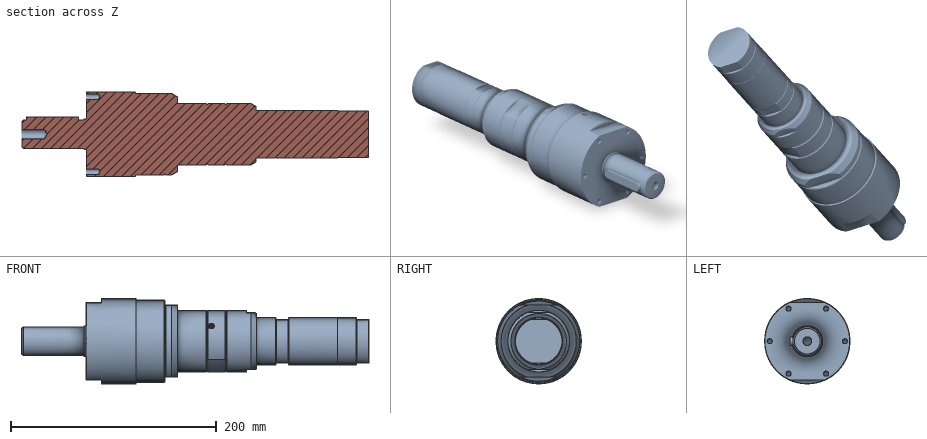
import cadquery as cq
import math


shaft_length = 62.5
shaft_diameter = 28.0
shaft_chamfer = 1.5
collar_diameter = 30.0
collar_length = 2.0
shaft_hole_diameter = 8.38
shaft_hole_depth = 22.0
key_start = -58.0
key_length = 51.0
key_width = 8.0
key_height = 7.0
key_projection = 3.0

body_diameter = 83.0
body_end = 48.5
body_flat_length = 15.0
body_across_flats = 75.0
bolt_circle_diameter = 73.0
bolt_count = 6
bolt_hole_diameter = 4.92
bolt_hole_depth = 12.0
drill_tip_angle = 118.0

front_sleeve_diameter = 80.0
front_nut_start = 77.0
front_nut_end = 89.0
front_nut_across_flats = 70.0
front_nut_bevel_length = 6.0
bevel_angle = 30.0
groove_depth = 1.0

barrel_diameter = 60.0
ring_start = 117.8
ring_end = 136.0
ring_across_flats = 55.0
ring_tilt = 30.0
rear_flat_start = 156.2
rear_nut_end = 165.7
rear_nut_across_flats = 55.5
rear_nut_bevel_length = 5.2

tube_diameter = 46.5
tail_diameter = 46.0
tube_flat_start = 184.7
tube_flat_end = 197.0
tail_start = 244.8
tail_flat_start = 263.3
tail_end = 275.0
tube_across_flats = 42.0
tube_groove_depth = 0.5

radial_hole_diameter = 3.3
radial_hole_depth = 5.0
counterbore_diameter = 5.5
counterbore_depth = 1.5
body_hole_x = 42.8
ring_hole_x = 122.0


def cylinder(start, end, diameter):
    return cq.Workplane("YZ").workplane(offset=start).circle(diameter / 2).extrude(end - start)


def bevelled_cylinder(start, end, diameter, bevel_length):
    """Cylinder whose far end tapers at the bevel angle."""
    radius = diameter / 2
    end_radius = radius - bevel_length * math.tan(math.radians(bevel_angle))
    profile = (
        cq.Workplane("XY")
        .moveTo(start, 0)
        .lineTo(start, radius)
        .lineTo(end - bevel_length, radius)
        .lineTo(end, end_radius)
        .lineTo(end, 0)
        .close()
    )
    return profile.revolve(360, (0, 0, 0), (1, 0, 0))


def v_groove(x, diameter, depth):
    """Ring-shaped cutter with a 90 degree V section around X."""
    radius = diameter / 2
    profile = (
        cq.Workplane("XY")
        .moveTo(x - depth, radius)
        .lineTo(x, radius - depth)
        .lineTo(x + depth, radius)
        .lineTo(x + depth, radius + depth)
        .lineTo(x - depth, radius + depth)
        .close()
    )
    return profile.revolve(360, (0, 0, 0), (1, 0, 0))


def flat_pair(start, end, across_flats, tilt=0.0):
    """Cutter leaving two parallel flats, facing +Z and -Z before the tilt about X."""
    length = end - start
    stock = cq.Workplane("XY").box(length, body_diameter * 2, body_diameter * 2)
    core = cq.Workplane("XY").box(length, body_diameter * 2, across_flats)
    cutter = stock.cut(core).translate(((start + end) / 2, 0, 0))
    return cutter.rotate((0, 0, 0), (1, 0, 0), tilt)


def drilled_hole(x, y, z, diameter, depth):
    """Blind hole along +X with a conical drill tip."""
    radius = diameter / 2
    tip = radius / math.tan(math.radians(drill_tip_angle / 2))
    profile = (
        cq.Workplane("XY")
        .moveTo(0, 0)
        .lineTo(0, radius)
        .lineTo(depth, radius)
        .lineTo(depth + tip, 0)
        .close()
    )
    return profile.revolve(360, (0, 0, 0), (1, 0, 0)).translate((x, y, z))


def radial_hole(x, surface_diameter, tilt):
    """Counterbored blind hole entering from +Z, then tilted about X."""
    surface = surface_diameter / 2
    hole = (
        cq.Workplane("XY", origin=(x, 0, surface))
        .circle(radial_hole_diameter / 2)
        .extrude(-radial_hole_depth)
    )
    counterbore = (
        cq.Workplane("XY", origin=(x, 0, surface - counterbore_depth))
        .circle(counterbore_diameter / 2)
        .extrude(2 * counterbore_depth)
    )
    return hole.union(counterbore).rotate((0, 0, 0), (1, 0, 0), tilt)


def make_shaft():
    shaft = cylinder(-shaft_length, 0, shaft_diameter).faces("<X").chamfer(shaft_chamfer)
    collar = cylinder(-collar_length, 0, collar_diameter)
    key_top = shaft_diameter / 2 + key_projection
    key = (
        cq.Workplane("XZ", origin=(key_start + key_length / 2, key_top, 0))
        .slot2D(key_length, key_width)
        .extrude(key_height)
    )
    hole = drilled_hole(-shaft_length, 0, 0, shaft_hole_diameter, shaft_hole_depth)
    return shaft.union(collar).union(key).cut(hole)


def make_body():
    body = cylinder(0, body_end, body_diameter)
    body = body.cut(flat_pair(0, body_flat_length, body_across_flats))
    for index in range(bolt_count):
        angle = 2 * math.pi * index / bolt_count
        y = bolt_circle_diameter / 2 * math.cos(angle)
        z = bolt_circle_diameter / 2 * math.sin(angle)
        body = body.cut(drilled_hole(0, y, z, bolt_hole_diameter, bolt_hole_depth))
    return body.cut(radial_hole(body_hole_x, body_diameter, 0))


def make_front_sleeve():
    sleeve = bevelled_cylinder(body_end, front_nut_end, front_sleeve_diameter, front_nut_bevel_length)
    sleeve = sleeve.cut(v_groove(front_nut_start, front_sleeve_diameter, groove_depth))
    return sleeve.cut(flat_pair(front_nut_start, front_nut_end, front_nut_across_flats))


def make_barrel():
    barrel = bevelled_cylinder(front_nut_end, rear_nut_end, barrel_diameter, rear_nut_bevel_length)
    for x in (ring_start, ring_end):
        barrel = barrel.cut(v_groove(x, barrel_diameter, groove_depth))
    barrel = barrel.cut(flat_pair(ring_start, ring_end, ring_across_flats, -ring_tilt))
    barrel = barrel.cut(flat_pair(rear_flat_start, rear_nut_end, rear_nut_across_flats))
    return barrel.cut(radial_hole(ring_hole_x, barrel_diameter, 90 - ring_tilt))


def make_motor_tube():
    tube = cylinder(rear_nut_end, tail_start, tube_diameter)
    tube = tube.union(cylinder(tail_start, tail_end, tail_diameter))
    for x in (tube_flat_start, tube_flat_end):
        tube = tube.cut(v_groove(x, tube_diameter, tube_groove_depth))
    tube = tube.cut(v_groove(tail_flat_start, tail_diameter, tube_groove_depth))
    tube = tube.cut(flat_pair(tube_flat_start, tube_flat_end, tube_across_flats))
    return tube.cut(flat_pair(tail_flat_start, tail_end, tube_across_flats))


result = make_shaft()
for section in (make_body(), make_front_sleeve(), make_barrel(), make_motor_tube()):
    result = result.union(section)